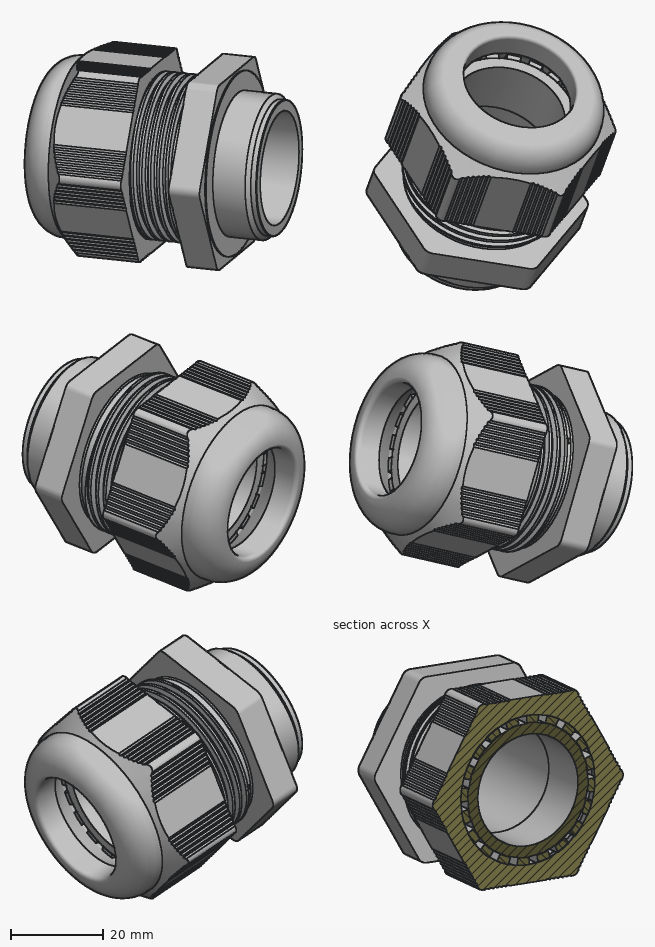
import cadquery as cq
import math


across_flats = 42.0
side_count = 6
side_angle = 360 / side_count
apothem = across_flats / 2
half_side = apothem * math.tan(math.radians(side_angle / 2))
cap_corner_radius = 1.6
body_corner_radius = 2.25

bore_radius = 12.55

cap_length = 25.5
dome_radius = 6.5
collar_radius = 20.0
collar_end = 7.4
mouth_fillet = collar_radius - dome_radius - bore_radius
serration_pitch = 1.05
serration_count = 6
serration_depth = 0.2
plain_half_width = 4.45

seat_start = 5.75
seat_end = 10.6
seat_end_radius = 16.4
throat_slope = 0.4

thread_length = 16.1
thread_turns = 8
thread_pitch = thread_length / thread_turns
thread_root = 17.15
thread_crest = 18.4
thread_base_width = 1.4
thread_crest_width = 0.65
thread_crest_place = 27.05
thread_sunk = 0.1
hidden_turns = 3
thread_end = 34.6

finger_tip = seat_end
finger_length = 5.35
finger_count = 20
slot_angle = 7.0
first_slot_angle = -4.9
neck_radius = 17.2
flare_start = 36.05
flare_radius = 17.35
hexagon_start = 36.55
hexagon_end = 43.65
pad_radius = 20.35
pad_end = 43.9
spigot_radius = 16.0
spigot_end = 51.35
nose_start = 52.25
nose_radius = 14.95
nose_bevel = 0.15
body_end = 53.6
key_length = 0.9
key_width = 1.2
key_height = 0.1
key_place = 1.25

seal_radius = 15.1
seal_length = 13.4
seal_end = finger_tip + seal_length


def throat_place(radius):
    """Place along X where the throat of the cap has the given radius."""
    return seat_end + (radius - seat_end_radius) / throat_slope


def revolve_about_x(outline):
    """Turn a closed outline of (x, radius) into a solid of revolution about X."""
    return outline.close().revolve(360, (0, 0, 0), (1, 0, 0))


def tube(start, end, inner, outer):
    ring = cq.Workplane("YZ", origin=(start, 0, 0)).circle(outer)
    if inner > 0:
        ring = ring.circle(inner)
    return ring.extrude(end - start)


def hexagon_prism(start, end, corner_radius):
    """Hexagon with flats facing +Z and -Z and rounded corners."""
    prism = cq.Workplane("YZ", origin=(start, 0, 0)).polygon(side_count, 4 * half_side).extrude(end - start)
    return prism.edges("|X").fillet(corner_radius)



def serrations():
    """V grooves along X on both sides of the top flat, as one triangle per groove."""
    first_valley = plain_half_width + serration_pitch / 2
    grooves = cq.Workplane("YZ")
    for hand in (-1, 1):
        for index in range(serration_count):
            valley = hand * (first_valley + index * serration_pitch)
            grooves = grooves.polyline([
                (valley - serration_pitch / 2, apothem),
                (valley, apothem - serration_depth),
                (valley + serration_pitch / 2, apothem),
            ]).close()
    return grooves.extrude(cap_length)


def cap_envelope():
    """Dome, short collar and 45 degree cone that bound the front of the hexagon."""
    corner_reach = 2 * half_side
    outline = (
        cq.Workplane("XY")
        .moveTo(0, 0)
        .lineTo(0, collar_radius - dome_radius)
        .radiusArc((dome_radius, collar_radius), dome_radius)
        .lineTo(collar_end, collar_radius)
        .lineTo(collar_end + corner_reach - collar_radius, corner_reach)
        .lineTo(cap_length, corner_reach)
        .lineTo(cap_length, 0)
    )
    return revolve_about_x(outline)


def cap_cavity():
    """Rounded mouth, bore, tapered seat, throat and the wide bore over the thread."""
    outline = (
        cq.Workplane("XY")
        .moveTo(0, 0)
        .lineTo(0, bore_radius + mouth_fillet)
        .radiusArc((mouth_fillet, bore_radius), -mouth_fillet)
        .lineTo(seat_start, bore_radius)
        .lineTo(seat_end, seat_end_radius)
        .lineTo(throat_place(thread_crest), thread_crest)
        .lineTo(cap_length, thread_crest)
        .lineTo(cap_length, 0)
    )
    return revolve_about_x(outline)


def make_cap():
    hexagon = hexagon_prism(0, cap_length, cap_corner_radius)
    grooves = serrations()
    for index in range(side_count):
        hexagon = hexagon.cut(grooves.rotate((0, 0, 0), (1, 0, 0), index * side_angle))
    return hexagon.intersect(cap_envelope()).cut(cap_cavity())



def thread_ridge():
    """Right-handed trapezoidal ridge, cut off square at the end of the thread."""
    flank_run = (thread_base_width - thread_crest_width) / 2
    sunk_half_width = thread_base_width / 2 + thread_sunk * flank_run / (thread_crest - thread_root)
    helix = cq.Wire.makeHelix(thread_pitch, thread_length, thread_root)
    ridge = (
        cq.Workplane("XZ")
        .polyline([
            (thread_root - thread_sunk, -sunk_half_width),
            (thread_crest, -thread_crest_width / 2),
            (thread_crest, thread_crest_width / 2),
            (thread_root - thread_sunk, sunk_half_width),
        ])
        .close()
        .sweep(cq.Workplane(obj=helix), isFrenet=True)
    )
    ridge = ridge.rotate((0, 0, 0), (1, 1, 1), 120)
    start = thread_crest_place - hidden_turns * thread_pitch
    return ridge.translate((start, 0, 0)).intersect(tube(0, thread_end, 0, pad_radius))


def body_core():
    """Turned shape of the body without its hexagon and thread."""
    outline = (
        cq.Workplane("XY")
        .moveTo(finger_tip, seal_radius)
        .lineTo(finger_tip, seat_end_radius)
        .lineTo(throat_place(thread_root), thread_root)
        .lineTo(thread_end, thread_root)
        .lineTo(thread_end, neck_radius)
        .lineTo(flare_start, neck_radius)
        .lineTo(hexagon_start, flare_radius)
        .lineTo(hexagon_end, flare_radius)
        .lineTo(hexagon_end, pad_radius)
        .lineTo(pad_end, pad_radius)
        .lineTo(pad_end, spigot_radius)
        .lineTo(spigot_end, spigot_radius)
        .lineTo(nose_start, nose_radius)
        .lineTo(body_end - nose_bevel, nose_radius)
        .lineTo(body_end, nose_radius - nose_bevel)
        .lineTo(body_end, bore_radius)
        .lineTo(seal_end, bore_radius)
        .lineTo(seal_end, seal_radius)
    )
    return revolve_about_x(outline)


def finger_slots():
    """Wedges that part the front end of the body into clamping fingers."""
    half_width = pad_radius * math.tan(math.radians(slot_angle / 2))
    wedge = (
        cq.Workplane("YZ", origin=(finger_tip, 0, 0))
        .polyline([(0, 0), (pad_radius, -half_width), (pad_radius, half_width)])
        .close()
        .extrude(finger_length)
    )
    for index in range(finger_count):
        yield wedge.rotate((0, 0, 0), (1, 0, 0), first_slot_angle + index * 360 / finger_count)


def locating_key():
    """Low pad on the -Y side of the neck, next to the end of the thread."""
    reach = neck_radius + key_height
    block = cq.Workplane("XY").box(key_length, reach, key_width, centered=(False, False, True))
    block = block.translate((thread_end, -reach, key_place))
    return block.intersect(tube(thread_end, hexagon_start, bore_radius, reach))


def make_body():
    body = body_core()
    for slot in finger_slots():
        body = body.cut(slot)
    hexagon = hexagon_prism(hexagon_start, hexagon_end, body_corner_radius)
    hexagon = hexagon.cut(tube(hexagon_start, hexagon_end, 0, bore_radius))
    return body.union(hexagon).union(locating_key()).union(thread_ridge())



def make_seal():
    return tube(finger_tip, seal_end, bore_radius, seal_radius)


cap = make_cap()
body = make_body()
seal = make_seal()

result = cq.Compound.makeCompound([cap.solids().val(), body.solids().val(), seal.val()])